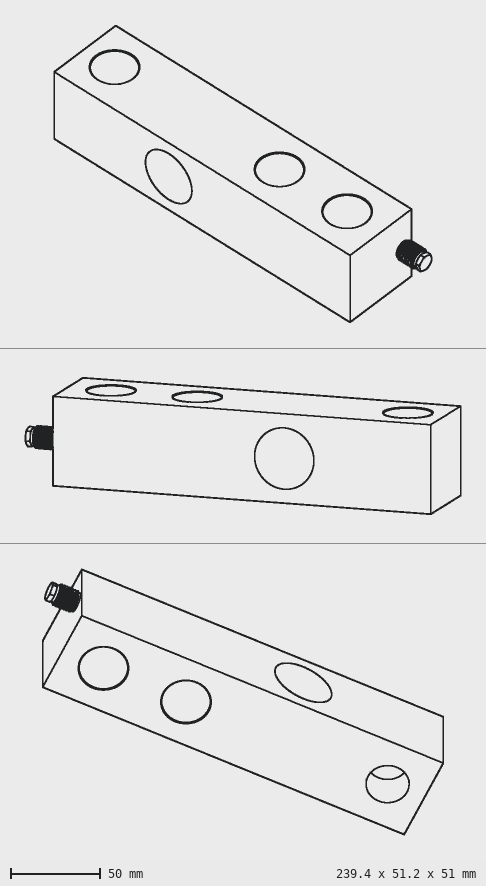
import cadquery as cq

overall_length = 239.4
beam_length = 222.5
beam_width = 51.0
beam_height = 51.0

pad_diameter = 35.0
pad_height = 0.12
pad_x = 86.2

hole_diameter = 27.0
hole_chamfer = 0.5
stepped_hole_x = 22.3
plain_hole_xs = (146.3, 197.0)
lower_bore_diameter = 24.0
step_depth = beam_height / 2

connector_y = 18.5
barrel_length = 12.5
thread_diameter = 12.7
root_diameter = 11.3
ridge_count = 7
ridge_pitch = 1.63
first_ridge_x = 1.8
ridge_base_width = 1.5
ridge_crest_width = 0.12
neck_diameter = 10.0
hex_length = 2.9
hex_start = overall_length - beam_length - hex_length
hex_corner_diameter = 11.3
hex_face_diameter = 10.0
hex_chamfer_length = 0.35
hex_turn = -15.0


def hole_at(x, outline):
    """Turn a half outline of (radius, z) points about a vertical axis at the given x."""
    profile = cq.Workplane("XZ").polyline(outline).close()
    return profile.revolve(360, (0, 0), (0, 1)).translate((x, 0, 0))


def make_plain_hole(x):
    """A through hole, chamfered at the top and bottom faces of the beam."""
    radius = hole_diameter / 2
    top = beam_height / 2
    return hole_at(x, [
        (0, -top),
        (radius + hole_chamfer, -top),
        (radius, -top + hole_chamfer),
        (radius, top - hole_chamfer),
        (radius + hole_chamfer, top),
        (0, top),
    ])


def make_stepped_hole(x):
    """A through hole, wide and chamfered above the step and narrower below it."""
    radius = hole_diameter / 2
    lower_radius = lower_bore_diameter / 2
    top = beam_height / 2
    step_z = top - step_depth
    return hole_at(x, [
        (0, -top),
        (lower_radius, -top),
        (lower_radius, step_z),
        (radius, step_z),
        (radius, top - hole_chamfer),
        (radius + hole_chamfer, top),
        (0, top),
    ])


def make_beam():
    """Rectangular beam with its left end at X = 0, centred on Y and Z."""
    beam = cq.Workplane("XY").box(beam_length, beam_width, beam_height, centered=(False, True, True))
    pads = (
        cq.Workplane("XZ", origin=(pad_x, 0, 0))
        .circle(pad_diameter / 2)
        .extrude(beam_width / 2 + pad_height, both=True)
    )
    beam = beam.union(pads)
    for x in plain_hole_xs:
        beam = beam.cut(make_plain_hole(x))
    return beam.cut(make_stepped_hole(stepped_hole_x))


def make_barrel_and_neck():
    """Turned part of the connector: a barrel with ring-shaped thread ridges, then the neck."""
    root_radius = root_diameter / 2
    outline = [(0, 0), (0, root_radius)]
    for i in range(ridge_count):
        x = first_ridge_x + i * ridge_pitch
        outline += [
            (x - ridge_base_width / 2, root_radius),
            (x - ridge_crest_width / 2, thread_diameter / 2),
            (x + ridge_crest_width / 2, thread_diameter / 2),
            (x + ridge_base_width / 2, root_radius),
        ]
    outline += [
        (barrel_length, root_radius),
        (barrel_length, neck_diameter / 2),
        (hex_start, neck_diameter / 2),
        (hex_start, 0),
    ]
    return cq.Workplane("XY").polyline(outline).close().revolve(360, (0, 0), (1, 0))


def make_hexagon():
    """Hexagonal end whose corners are cut back by a cone on both sides."""
    hexagon = (
        cq.Workplane("YZ")
        .transformed(rotate=(0, 0, hex_turn))
        .polygon(6, hex_corner_diameter)
        .extrude(hex_length)
    )
    corner_radius = hex_corner_diameter / 2
    face_radius = hex_face_diameter / 2
    envelope = (
        cq.Workplane("XY")
        .polyline([
            (0, 0),
            (0, face_radius),
            (hex_chamfer_length, corner_radius),
            (hex_length - hex_chamfer_length, corner_radius),
            (hex_length, face_radius),
            (hex_length, 0),
        ])
        .close()
        .revolve(360, (0, 0), (1, 0))
    )
    return hexagon.intersect(envelope)


def make_connector():
    """Connector standing on the +X end of the beam."""
    connector = make_barrel_and_neck().union(make_hexagon().translate((hex_start, 0, 0)))
    return connector.translate((beam_length, connector_y, 0))


beam = make_beam()
connector = make_connector()
result = cq.Compound.makeCompound([beam.val(), connector.val()])